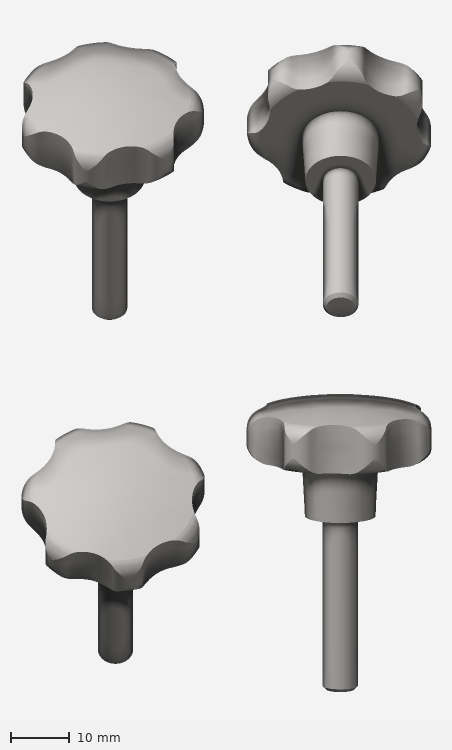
import cadquery as cq
import math

TOTAL_HEIGHT = 50.0
SHANK_RADIUS = 3.0
SHANK_LENGTH = 30.0
TIP_CHAMFER = 0.6

HUB_HEIGHT = 10.0
HUB_BOTTOM_RADIUS = 6.0
HUB_TOP_RADIUS = 6.55

LOBE_COUNT = 7
LOBE_RADIUS = 3.0
LOBE_CENTRE_RADIUS = 13.0
VALLEY_RADIUS = 7.25
EDGE_INSET = 2.2
EDGE_DEPTH = 3.0
RIM_HEIGHT = 8.2

HEAD_RADIUS = LOBE_CENTRE_RADIUS + LOBE_RADIUS
HEAD_BOTTOM = SHANK_LENGTH + HUB_HEIGHT
RIM_Z = HEAD_BOTTOM + RIM_HEIGHT
RIM_RADIUS = HEAD_RADIUS - EDGE_INSET
HALF_PITCH = math.pi / LOBE_COUNT
FIRST_LOBE_ANGLE = -math.pi / 2


def polar(radius, angle):
    return radius * math.cos(angle), radius * math.sin(angle)


def star_prism():
    """Seven round lobes joined by tangent hollow arcs, as tall as the whole head."""
    along = LOBE_CENTRE_RADIUS * math.cos(HALF_PITCH)
    across = LOBE_CENTRE_RADIUS * math.sin(HALF_PITCH)
    centre_gap = LOBE_RADIUS + VALLEY_RADIUS
    valley_centre_radius = along + math.sqrt(centre_gap**2 - across**2)
    valley_floor_radius = valley_centre_radius - VALLEY_RADIUS

    valley_x, valley_y = polar(valley_centre_radius, HALF_PITCH)
    share = LOBE_RADIUS / centre_gap
    tangent_x = LOBE_CENTRE_RADIUS + share * (valley_x - LOBE_CENTRE_RADIUS)
    tangent_y = share * valley_y
    tangent_radius = math.hypot(tangent_x, tangent_y)
    tangent_angle = math.atan2(tangent_y, tangent_x)

    outline = cq.Workplane("XY").workplane(offset=HEAD_BOTTOM)
    outline = outline.moveTo(*polar(tangent_radius, FIRST_LOBE_ANGLE - tangent_angle))
    for index in range(LOBE_COUNT):
        lobe = FIRST_LOBE_ANGLE + 2 * HALF_PITCH * index
        outline = outline.threePointArc(
            polar(HEAD_RADIUS, lobe), polar(tangent_radius, lobe + tangent_angle)
        )
        valley = lobe + HALF_PITCH
        next_lobe = valley + HALF_PITCH
        outline = outline.threePointArc(
            polar(valley_floor_radius, valley), polar(tangent_radius, next_lobe - tangent_angle)
        )
    return outline.close().extrude(TOTAL_HEIGHT - HEAD_BOTTOM)


def domed_disc():
    """Turned envelope of the head: rounded edges under a shallow spherical dome."""
    dome_rise = TOTAL_HEIGHT - RIM_Z
    dome_radius = (RIM_RADIUS**2 + dome_rise**2) / (2 * dome_rise)
    mid_radius = RIM_RADIUS / 2
    mid_z = TOTAL_HEIGHT - dome_radius + math.sqrt(dome_radius**2 - mid_radius**2)
    edge_radius = (EDGE_INSET**2 + EDGE_DEPTH**2) / (2 * EDGE_INSET)
    return (
        cq.Workplane("XZ")
        .moveTo(0, HEAD_BOTTOM)
        .lineTo(RIM_RADIUS, HEAD_BOTTOM)
        .radiusArc((HEAD_RADIUS, HEAD_BOTTOM + EDGE_DEPTH), -edge_radius)
        .lineTo(HEAD_RADIUS, RIM_Z - EDGE_DEPTH)
        .radiusArc((RIM_RADIUS, RIM_Z), -edge_radius)
        .threePointArc((mid_radius, mid_z), (0, TOTAL_HEIGHT))
        .close()
        .revolve(360, (0, 0), (0, 1))
    )


def hub_and_shank():
    """Tapered hub on a plain round shank with a chamfered tip."""
    return (
        cq.Workplane("XZ")
        .lineTo(SHANK_RADIUS - TIP_CHAMFER, 0)
        .lineTo(SHANK_RADIUS, TIP_CHAMFER)
        .lineTo(SHANK_RADIUS, SHANK_LENGTH)
        .lineTo(HUB_BOTTOM_RADIUS, SHANK_LENGTH)
        .lineTo(HUB_TOP_RADIUS, HEAD_BOTTOM)
        .lineTo(0, HEAD_BOTTOM)
        .close()
        .revolve(360, (0, 0), (0, 1))
    )


head = star_prism().intersect(domed_disc())
result = head.union(hub_and_shank())